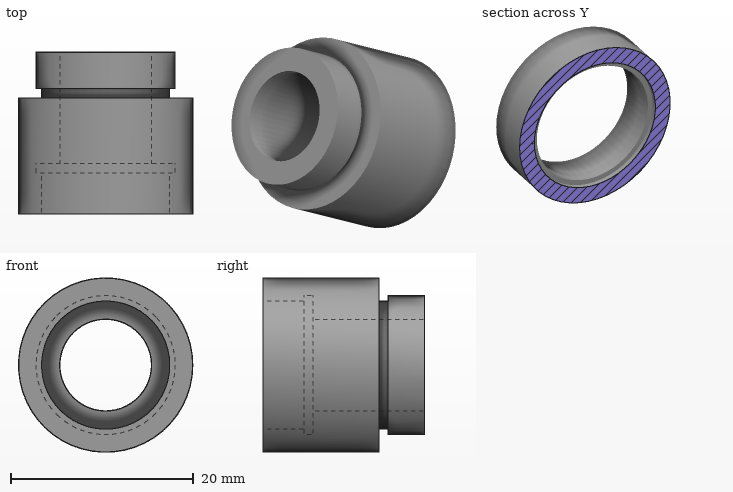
import cadquery as cq

total_length = 17.7
body_diameter = 19.05
head_diameter = 15.2
head_length = 4.0
neck_diameter = 14.0
neck_length = 1.0
bore_diameter = 10.0
socket_diameter = 14.0
socket_depth = 5.5
undercut_diameter = head_diameter
undercut_width = neck_length

body_length = total_length - head_length - neck_length
front_y = -total_length / 2


def cylinder(diameter, start, length):
    """Solid cylinder along +Y, starting at a distance behind the front face."""
    plane = cq.Workplane("XZ", origin=(0, front_y + start, 0))
    return plane.circle(diameter / 2).extrude(-length)


body = cylinder(body_diameter, 0, body_length)
neck = cylinder(neck_diameter, body_length, neck_length)
head = cylinder(head_diameter, body_length + neck_length, head_length)

bore = cylinder(bore_diameter, 0, total_length)
socket = cylinder(socket_diameter, 0, socket_depth)
undercut = cylinder(undercut_diameter, socket_depth - undercut_width, undercut_width)

result = body.union(neck).union(head).cut(bore).cut(socket).cut(undercut)